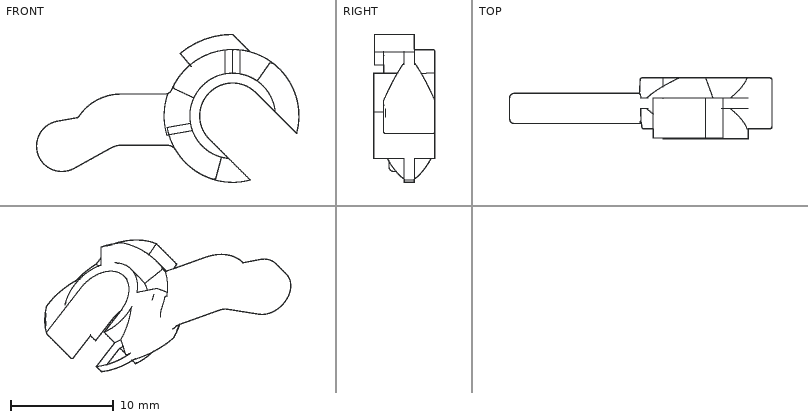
import cadquery as cq
import math


RING_RADIUS = 6.5
HUB_RADIUS = 4.2
BORE_RADIUS = 3.22
WEB_THICKNESS = 1.0
HUB_FRONT = 2.98
SLOT_ANGLE = -45

CAM_HEIGHT = 2.0
CAM_ROUND = 0.2
CAM_ROOT_RADIUS = (BORE_RADIUS + HUB_RADIUS) / 2
CAM_PITCH_ANGLE = 100
RAMP_START_ANGLE = 155
RAMP_TURN = 41
CREST_ROUND = 0.39
WALL_ANGLE = 90
WALL_DRAFT = 20
WALL_RUN = CAM_HEIGHT * math.tan(math.radians(WALL_DRAFT))
CAM_SPAN = 80
LAST_CAM_SPAN = 85

TAB_RADIUS = 8.0
TAB_FRONT = 2.9
TAB_START_ANGLE = 130
TAB_CORNER_ANGLE = 90

LEVER_HALF_THICKNESS = 1.5
LEVER_ROUND = 0.5
NOTCH_RADIUS = 0.05
LEVER_TOP = 2.15
LEVER_BOTTOM = -2.88
TIP_RADIUS = 2.5
TIP_X = TIP_RADIUS + RING_RADIUS - 25.73
TIP_Y = -2.95
TIP_TOP_SLOPE = 10
SHOULDER_RADIUS = 5.0
SHOULDER_X = -10.94
UNDERSIDE_SLOPE = 29
UNDERSIDE_BEND_RADIUS = 2.08
NECK_TOP_RADIUS = 0.65
NECK_BOTTOM_RADIUS = 0.95
STEP_RADIUS = 6.72
STEP_START_ANGLE = 130

OVERCUT = 0.25
FAR = 15.45


def polar(radius, angle, center=(0, 0)):
    """Point at an angle in degrees on a circle."""
    turn = math.radians(angle)
    return (center[0] + radius * math.cos(turn), center[1] + radius * math.sin(turn))


def cylinder(radius, bottom, top):
    return cq.Workplane("XY").workplane(offset=bottom).circle(radius).extrude(top - bottom)


def sector(radius, start_angle, end_angle, bottom, top):
    """Pie slice of a disc between two angles."""
    return (
        cq.Workplane("XY")
        .workplane(offset=bottom)
        .lineTo(*polar(radius, start_angle))
        .threePointArc(polar(radius, (start_angle + end_angle) / 2), polar(radius, end_angle))
        .close()
        .extrude(top - bottom)
    )


def ramp_cutter():
    """Space above a ramp that rises clockwise from angle 0."""
    pitch = CAM_HEIGHT * 360 / RAMP_TURN
    path = cq.Wire.makeHelix(pitch, CAM_HEIGHT + OVERCUT, RING_RADIUS, lefthand=True)
    section = (
        cq.Workplane("XZ")
        .moveTo(BORE_RADIUS, 0)
        .lineTo(RING_RADIUS + OVERCUT, 0)
        .lineTo(RING_RADIUS + OVERCUT, CAM_HEIGHT + OVERCUT)
        .lineTo(BORE_RADIUS, CAM_HEIGHT + OVERCUT)
        .close()
    )
    return section.sweep(cq.Workplane(path), isFrenet=True)


def wall_cutter(foot_x):
    """Space past the drafted wall that ends a cam; the wall rises toward -X from its foot."""
    return (
        cq.Workplane("XZ")
        .moveTo(foot_x, 0)
        .lineTo(foot_x - WALL_RUN, CAM_HEIGHT)
        .lineTo(foot_x - WALL_RUN, CAM_HEIGHT + OVERCUT)
        .lineTo(FAR, CAM_HEIGHT + OVERCUT)
        .lineTo(FAR, 0)
        .close()
        .extrude(-FAR)
    )


def turned(body, angle):
    return body.rotate((0, 0, 0), (0, 0, 1), angle)


def cam(span, edge_round):
    """Raised sector on Z = 0 that climbs clockwise along a screw ramp to a flat land."""
    body = sector(RING_RADIUS, RAMP_START_ANGLE, RAMP_START_ANGLE - span, 0, CAM_HEIGHT)
    body = body.cut(cylinder(CAM_ROOT_RADIUS, 0, CAM_HEIGHT))
    body = body.cut(turned(ramp_cutter(), RAMP_START_ANGLE))
    crest_angle = RAMP_START_ANGLE - RAMP_TURN
    crest = polar((CAM_ROOT_RADIUS + RING_RADIUS) / 2, crest_angle)
    body = body.edges(cq.selectors.NearestToPointSelector((*crest, CAM_HEIGHT))).fillet(CREST_ROUND)
    if edge_round:
        rim = polar(RING_RADIUS, (crest_angle + RAMP_START_ANGLE - span) / 2)
        body = body.edges(cq.selectors.NearestToPointSelector((*rim, CAM_HEIGHT))).fillet(CAM_ROUND)
    return body


def walled_cam(foot_x, edge_round):
    return cam(CAM_SPAN, edge_round).cut(wall_cutter(foot_x))


def later_cams(foot_x):
    """The two cams beside the first; the clockwise one runs out into the slot without a wall."""
    return [
        turned(walled_cam(foot_x, True), CAM_PITCH_ANGLE),
        turned(cam(LAST_CAM_SPAN, True), -CAM_PITCH_ANGLE),
    ]


def tab_plate():
    """Plate from the ring axis to the stop tab: one end radial, the other parallel with the slot."""
    corner = polar(TAB_RADIUS, TAB_CORNER_ANGLE)
    middle = polar(TAB_RADIUS, (TAB_START_ANGLE + TAB_CORNER_ANGLE) / 2)
    slant_end = (corner[0] + HUB_RADIUS, corner[1] - HUB_RADIUS)
    return (
        cq.Workplane("XY")
        .workplane(offset=-WEB_THICKNESS)
        .lineTo(*polar(TAB_RADIUS, TAB_START_ANGLE))
        .threePointArc(middle, corner)
        .lineTo(*slant_end)
        .close()
        .extrude(TAB_FRONT + WEB_THICKNESS)
    )


def notch_point(tip_top, shoulder):
    """Where the sloped top of the tip meets the shoulder arc."""
    slope = math.radians(TIP_TOP_SLOPE)
    along = (math.cos(slope), math.sin(slope))
    to_shoulder = (shoulder[0] - tip_top[0], shoulder[1] - tip_top[1])
    foot = to_shoulder[0] * along[0] + to_shoulder[1] * along[1]
    offset = to_shoulder[0] * along[1] - to_shoulder[1] * along[0]
    reach = foot - math.sqrt(SHOULDER_RADIUS**2 - offset**2)
    return (tip_top[0] + reach * along[0], tip_top[1] + reach * along[1])


def neck_arc(radius, center_y):
    """Center of a concave arc tangent to the ring, and the angle at which it touches the ring."""
    center_x = -math.sqrt((RING_RADIUS + radius) ** 2 - center_y**2)
    return (center_x, center_y), math.degrees(math.atan2(-center_y, -center_x))


def lever_blank():
    """Full-thickness lever with rounded face edges, running from the tip into the ring."""
    tip = (TIP_X, TIP_Y)
    tip_top = polar(TIP_RADIUS, 90 + TIP_TOP_SLOPE, tip)
    tip_bottom = polar(TIP_RADIUS, UNDERSIDE_SLOPE - 90, tip)
    shoulder = (SHOULDER_X, LEVER_TOP - SHOULDER_RADIUS)
    notch = notch_point(tip_top, shoulder)
    notch_angle = math.degrees(math.atan2(notch[1] - shoulder[1], notch[0] - shoulder[0]))

    top_neck, top_angle = neck_arc(NECK_TOP_RADIUS, LEVER_TOP + NECK_TOP_RADIUS)
    bottom_neck, bottom_angle = neck_arc(NECK_BOTTOM_RADIUS, LEVER_BOTTOM - NECK_BOTTOM_RADIUS)

    slope = math.radians(UNDERSIDE_SLOPE)
    bend_corner_x = tip_bottom[0] + (LEVER_BOTTOM - tip_bottom[1]) / math.tan(slope)
    bend_start_x = bend_corner_x + UNDERSIDE_BEND_RADIUS * math.tan(slope / 2)
    bend = (bend_start_x, LEVER_BOTTOM - UNDERSIDE_BEND_RADIUS)

    body = (
        cq.Workplane("XY")
        .workplane(offset=-LEVER_HALF_THICKNESS)
        .moveTo(*tip_top)
        .lineTo(*notch)
        .threePointArc(
            polar(SHOULDER_RADIUS, (notch_angle + 90) / 2, shoulder),
            (SHOULDER_X, LEVER_TOP),
        )
        .lineTo(top_neck[0], LEVER_TOP)
        .threePointArc(
            polar(NECK_TOP_RADIUS, (top_angle - 90) / 2, top_neck),
            polar(NECK_TOP_RADIUS, top_angle, top_neck),
        )
        .lineTo(-HUB_RADIUS, 0)
        .lineTo(*polar(NECK_BOTTOM_RADIUS, bottom_angle, bottom_neck))
        .threePointArc(
            polar(NECK_BOTTOM_RADIUS, (bottom_angle + 90) / 2, bottom_neck),
            (bottom_neck[0], LEVER_BOTTOM),
        )
        .lineTo(bend_start_x, LEVER_BOTTOM)
        .threePointArc(
            polar(UNDERSIDE_BEND_RADIUS, 90 + UNDERSIDE_SLOPE / 2, bend),
            polar(UNDERSIDE_BEND_RADIUS, 90 + UNDERSIDE_SLOPE, bend),
        )
        .lineTo(*tip_bottom)
        .threePointArc((TIP_X - TIP_RADIUS, TIP_Y), tip_top)
        .close()
        .extrude(2 * LEVER_HALF_THICKNESS)
    )
    body = body.edges(cq.selectors.NearestToPointSelector((*notch, 0))).fillet(NOTCH_RADIUS)
    return body.faces("|Z").edges().fillet(LEVER_ROUND)


def lever():
    """Lever cut back to web thickness beside the ring, as far as the cam wall on each face."""
    wall = WALL_ANGLE + CAM_PITCH_ANGLE
    wall_top = wall + math.degrees(math.asin(WALL_RUN / RING_RADIUS))
    front_step = sector(STEP_RADIUS, STEP_START_ANGLE, wall_top, 0, FAR)
    back_step = sector(STEP_RADIUS, STEP_START_ANGLE, wall, -FAR, -WEB_THICKNESS)
    return lever_blank().cut(front_step).cut(back_step)


slot = cq.Workplane("XY").center(FAR / 2, 0).rect(FAR, 2 * BORE_RADIUS).extrude(FAR, both=True)
slot = turned(slot, SLOT_ANGLE)

part = cylinder(RING_RADIUS, -WEB_THICKNESS, 0).cut(slot)

plate = tab_plate()
first_cam = walled_cam(0, True).cut(plate)
cam_under_tab = walled_cam(0, False).intersect(plate)
part = part.union(plate.cut(cylinder(RING_RADIUS, -FAR, FAR)), clean=False)
for front_cam in [cam_under_tab, first_cam] + later_cams(0):
    part = part.union(front_cam, clean=False)
for back_cam in [walled_cam(WALL_RUN, True)] + later_cams(WALL_RUN):
    part = part.union(back_cam.mirror("XY").translate((0, 0, -WEB_THICKNESS)), clean=False)
part = part.union(cylinder(HUB_RADIUS, -WEB_THICKNESS - CAM_HEIGHT, HUB_FRONT), clean=False)
part = part.union(lever(), clean=False)
part = part.cut(cylinder(BORE_RADIUS, -FAR, FAR).union(slot)).clean()

result = part.rotate((0, 0, 0), (1, 0, 0), 90)